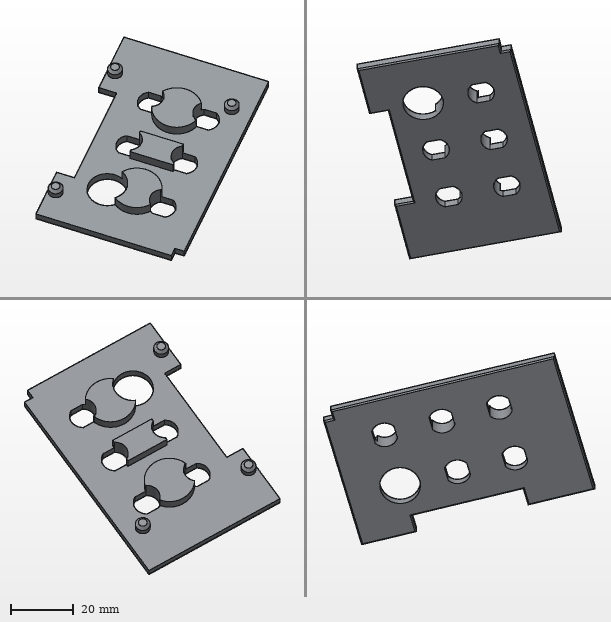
import cadquery as cq

plate_width = 49.5
plate_length = 77.0
plate_thickness = 3.0
bottom_chamfer = 0.5

side_notch_depth = 6.1
side_notch_start = 18.2
side_notch_end = 55.0
corner_notch = 3.15

boss_x = 27.1
boss_top = 6.5
boss_height = boss_top - plate_thickness
boss_radius = 8.0
round_boss_ys = (19.0, 54.0)
block_width = 14.8
block_length = 9.0

middle_row_y = 36.4
row_pitch = 18.95
lower_row_y = middle_row_y - row_pitch
upper_row_y = middle_row_y + row_pitch
opening_offset = 9.5
left_x = boss_x - opening_offset
right_x = boss_x + opening_offset
opening_diameter = 8.5
opening_flats = 7.3
large_hole_radius = 6.5

pin_radius = 2.4
pin_height = 6.0 - plate_thickness
pin_chamfer = 1.0
pin_left_x = 2.6
pin_right_x = 42.6
pin_lower_y = 10.6
pin_upper_y = 62.45
pin_points = [
    (pin_left_x, pin_lower_y),
    (pin_left_x, pin_upper_y),
    (pin_right_x, pin_upper_y),
]


def make_plate():
    """Notched plate with its bottom outline chamfered."""
    outline = [
        (0, 0),
        (plate_width - corner_notch, 0),
        (plate_width - corner_notch, corner_notch),
        (plate_width, corner_notch),
        (plate_width, plate_length),
        (0, plate_length),
        (0, side_notch_end),
        (side_notch_depth, side_notch_end),
        (side_notch_depth, side_notch_start),
        (0, side_notch_start),
    ]
    plate = cq.Workplane("XY").polyline(outline).close().extrude(plate_thickness)
    return plate.faces("<Z").chamfer(bottom_chamfer)


def make_bosses():
    """Rectangular block between two round bosses."""
    top = cq.Workplane("XY").workplane(offset=plate_thickness)
    block = top.center(boss_x, middle_row_y).rect(block_width, block_length).extrude(boss_height)
    round_points = [(boss_x, y) for y in round_boss_ys]
    rounds = top.pushPoints(round_points).circle(boss_radius).extrude(boss_height)
    return block.union(rounds)


def make_pins():
    """Short cylinders with chamfered top edges."""
    top = cq.Workplane("XY").workplane(offset=plate_thickness)
    pins = top.pushPoints(pin_points).circle(pin_radius).extrude(pin_height)
    return pins.faces(">Z").chamfer(pin_chamfer)


def make_flatted_openings():
    """Through cutters: circles trimmed by flats in front and behind."""
    points = [
        (left_x, middle_row_y),
        (left_x, upper_row_y),
        (right_x, lower_row_y),
        (right_x, middle_row_y),
        (right_x, upper_row_y),
    ]
    base = cq.Workplane("XY").pushPoints(points)
    cylinders = base.circle(opening_diameter / 2).extrude(boss_top)
    flats = base.rect(opening_diameter, opening_flats).extrude(boss_top)
    return cylinders.intersect(flats)


def make_large_hole():
    """Through cutter for the round hole of the lower row."""
    return cq.Workplane("XY").center(left_x, lower_row_y).circle(large_hole_radius).extrude(boss_top)


result = make_plate().union(make_bosses()).union(make_pins())
result = result.cut(make_flatted_openings()).cut(make_large_hole())